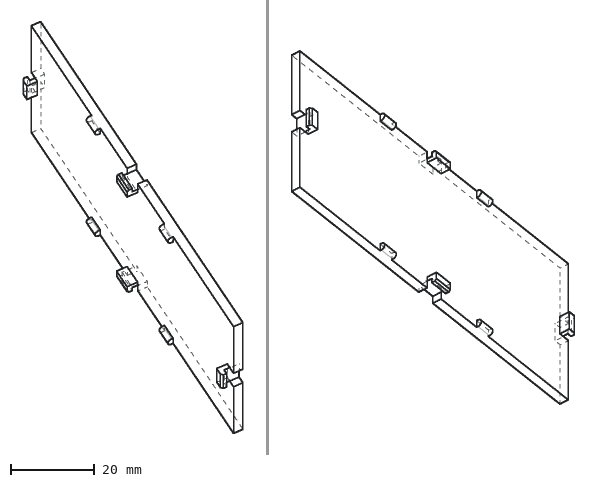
import cadquery as cq

plate_length = 102.1
plate_height = 42.1
plate_thickness = 2.6
total_depth = 5.4

clip_width = 5.3
stem_thickness = 1.2
end_notch_depth = 1.9
side_notch_depth = 2.1
hook_reach = 1.2
hook_thickness = 1.4
hook_chamfer = 0.5

rib_length = 4.4
rib_offset = 18.4
rib_radius = 1.0
rib_projection = 1.4


def make_notch(edge_distance, depth):
    """Through notch in the edge lying at +X."""
    return cq.Workplane("XY").box(depth, plate_thickness, clip_width).translate(
        (edge_distance - depth / 2, -plate_thickness / 2, 0)
    )


def make_clip(edge_distance, notch_depth):
    """Stem and chamfered outward hook for the edge lying at +X."""
    stem_outer = edge_distance - notch_depth
    stem_inner = stem_outer - stem_thickness
    hook_tip = stem_outer + hook_reach
    hook_back = hook_thickness - total_depth
    profile = [
        (stem_inner, 0),
        (stem_outer, 0),
        (stem_outer, hook_back),
        (hook_tip, hook_back),
        (hook_tip, hook_chamfer - total_depth),
        (hook_tip - hook_chamfer, -total_depth),
        (stem_inner, -total_depth),
    ]
    return cq.Workplane("XY").polyline(profile).close().extrude(clip_width / 2, both=True)


def make_rib(center_x):
    """Half-round rib flush with the top edge of the plate."""
    top = plate_height / 2
    bottom = top - 2 * rib_radius
    arc_start = rib_radius - plate_thickness - rib_projection
    return (
        cq.Workplane("YZ", origin=(center_x, 0, 0))
        .moveTo(-plate_thickness, top)
        .lineTo(arc_start, top)
        .threePointArc((arc_start - rib_radius, top - rib_radius), (arc_start, bottom))
        .lineTo(-plate_thickness, bottom)
        .close()
        .extrude(rib_length / 2, both=True)
    )


def turn(shape, angle):
    """Rotate a shape about the Y axis through the plate centre."""
    return shape.rotate((0, 0, 0), (0, 1, 0), angle)


result = cq.Workplane("XY").box(plate_length, plate_thickness, plate_height).translate(
    (0, -plate_thickness / 2, 0)
)

clip_sites = [
    (0, plate_length / 2, end_notch_depth),
    (90, plate_height / 2, side_notch_depth),
    (180, plate_length / 2, end_notch_depth),
    (270, plate_height / 2, side_notch_depth),
]
for angle, edge_distance, notch_depth in clip_sites:
    result = result.cut(turn(make_notch(edge_distance, notch_depth), angle))
    result = result.union(turn(make_clip(edge_distance, notch_depth), angle))

for center_x in (-rib_offset, rib_offset):
    rib = make_rib(center_x)
    result = result.union(rib).union(rib.mirror("XY"))